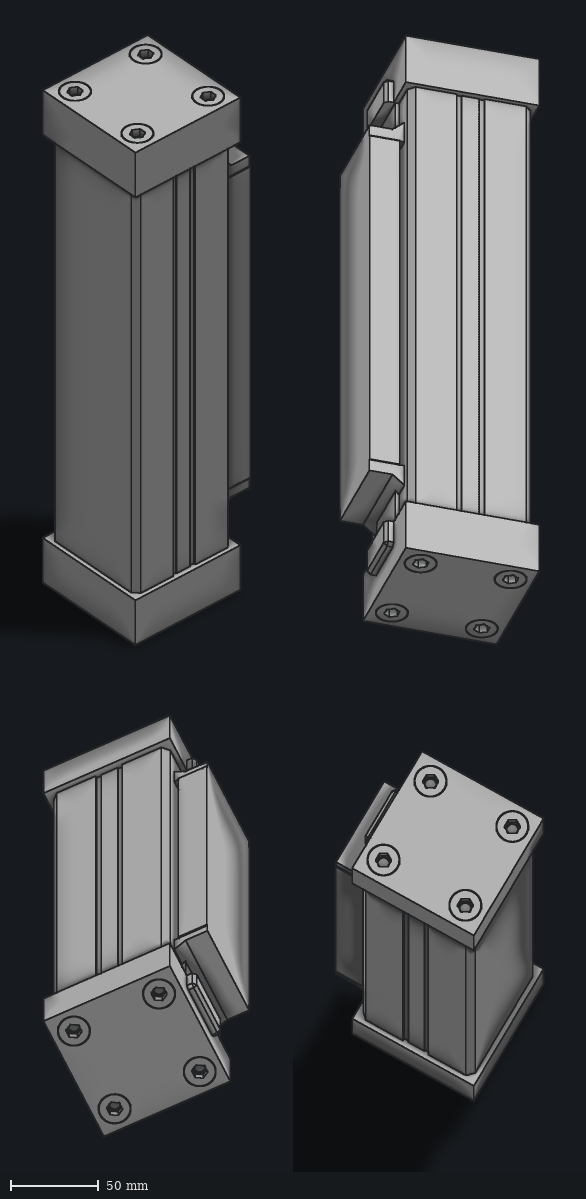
import cadquery as cq

total_length = 350.0
cap_side = 80.0
cap_height = 32.0
cap_half = cap_side / 2
cap_inner_z = total_length / 2 - cap_height

profile_side = 74.0
profile_half = profile_side / 2
profile_chamfer = 4.0
rail_width = 35.0
rail_top_y = 39.2

slot_width = 16.8
slot_strip_width = 10.5
slot_depth = 1.5
strip_recess = 0.7

screw_offset = 27.0
head_diameter = 18.0
counterbore_diameter = 18.5
head_height = 10.5
socket_corners = 9.0
socket_depth = 5.2
pilot_diameter = 6.5
pilot_depth = 7.0

clamp_width = 35.5
clamp_length = 16.0
clamp_top_y = 45.5
clamp_chamfer = 2.0

carriage_rise = 18.0
carriage_top_y = cap_half + carriage_rise
carriage_width = 56.7
carriage_half_length = 118.0
end_plate_thickness = 7.5
end_plate_inset = 0.7
skirt_start_y = 44.0
skirt_run = 6.0
plate_bottom_y = 40.0


def box(x_size, y_low, y_high, z_low, z_high):
    """Block centred on X = 0 between the given Y and Z limits."""
    return (
        cq.Workplane("XY", origin=(0, 0, z_low))
        .center(0, (y_low + y_high) / 2)
        .rect(x_size, y_high - y_low)
        .extrude(z_high - z_low)
    )


def make_profile():
    """Chamfered square tube with the carriage rail and the flank slots."""
    length = 2 * cap_inner_z
    profile = (
        cq.Workplane("XY")
        .box(profile_side, profile_side, length)
        .edges("|Z")
        .chamfer(profile_chamfer)
    )
    profile = profile.union(box(rail_width, 0, rail_top_y, -cap_inner_z, cap_inner_z))
    for side in (-1, 1):
        slot = cq.Workplane("XY").box(2 * slot_depth, slot_width, length)
        strip = cq.Workplane("XY").box(2 * (slot_depth - strip_recess), slot_strip_width, length)
        strip = strip.translate((-side * slot_depth, 0, 0))
        profile = profile.cut(slot.cut(strip).translate((side * profile_half, 0, 0)))
    return profile


def make_upper_cap():
    """End cap with flush screw heads, each ringed by a narrow clearance gap."""
    outer_z = total_length / 2
    cap = box(cap_side, -cap_half, cap_half, cap_inner_z, outer_z)
    outer_face = cq.Workplane("XY", origin=(0, 0, outer_z)).rect(
        2 * screw_offset, 2 * screw_offset, forConstruction=True
    ).vertices()
    head_gap = (
        outer_face.circle(counterbore_diameter / 2)
        .circle(head_diameter / 2)
        .extrude(-head_height)
    )
    sockets = outer_face.polygon(6, socket_corners).extrude(-socket_depth)
    pilots = outer_face.circle(pilot_diameter / 2).extrude(-pilot_depth)
    return cap.cut(head_gap).cut(sockets).cut(pilots).union(make_upper_clamp())


def make_upper_clamp():
    """Band clamp with chamfers around its +Y face and its outer end."""
    clamp = box(clamp_width, cap_half, clamp_top_y, cap_inner_z, cap_inner_z + clamp_length)
    free_edges = clamp.edges("(|Z and >Y) or (|Y and >Z) or (|X and >Y and >Z)")
    return free_edges.chamfer(clamp_chamfer)


def make_cylinder():
    """Profile with an identical, mirrored cap at each end."""
    upper_cap = make_upper_cap()
    return make_profile().union(upper_cap).union(upper_cap.mirror("XY"))


def make_upper_end_plate():
    """Carriage end plate whose skirt slopes outward down to the profile."""
    inner_z = carriage_half_length - end_plate_thickness
    width = carriage_width - 2 * end_plate_inset
    outline = [
        (profile_half, inner_z),
        (carriage_top_y, inner_z),
        (carriage_top_y, carriage_half_length),
        (skirt_start_y, carriage_half_length),
        (profile_half, carriage_half_length + skirt_run),
    ]
    return cq.Workplane("YZ").polyline(outline).close().extrude(width / 2, both=True)


def make_carriage():
    """Carriage plate carried by two end plates that straddle the rail."""
    plate_half_length = carriage_half_length - end_plate_thickness
    plate = box(carriage_width, plate_bottom_y, carriage_top_y, -plate_half_length, plate_half_length)
    end_plate = make_upper_end_plate()
    carriage = plate.union(end_plate).union(end_plate.mirror("XY"))
    rail = box(rail_width, profile_half, rail_top_y, -cap_inner_z, cap_inner_z)
    return carriage.cut(rail)


cylinder = make_cylinder()
carriage = make_carriage()
result = cq.Compound.makeCompound([cylinder.val(), carriage.val()])